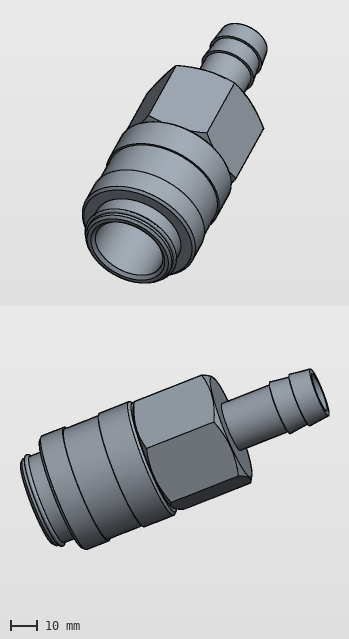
import cadquery as cq
import math


TOTAL_LENGTH = 115.0
SLEEVE_FRONT = 10.0
GRIP_FRONT = 20.0
GRIP_REAR = 34.5
SLEEVE_REAR = 47.5
HEX_REAR = 79.0
BARB_PITCH = 8.0
BARB_COUNT = 2
RING_POSITION = 3.0

NOSE_RADIUS = 35.0 / 2
SLEEVE_RADIUS = 46.0 / 2
GRIP_RADIUS = 44.6 / 2
TAIL_RADIUS = 19.0 / 2
BARB_RADIUS = 21.0 / 2
RING_RADIUS = 37.0 / 2
RING_SECTION_RADIUS = 0.85

HEX_ACROSS_FLATS = 41.0
HEX_CORNER_RADIUS = HEX_ACROSS_FLATS / 2 / math.cos(math.radians(30))
HEX_FACE_RADIUS = 40.4 / 2
HEX_CHAMFER_ANGLE = 30.0

CHAMFER = 1.0

SOCKET_RADIUS = 27.4 / 2
SOCKET_DEPTH = GRIP_REAR
MOUTH_RADIUS = 30.0 / 2
BORE_RADIUS = 15.0 / 2


def revolve_profile(points):
    """Revolve a closed (radius, axial position) outline about the Y axis."""
    outline = cq.Workplane("XY").polyline(points).close()
    return outline.revolve(360, (0, 0, 0), (0, 1, 0))


def cylinder(radius, start, end):
    return revolve_profile([(0, start), (radius, start), (radius, end), (0, end)])


def make_nose():
    """Front spigot with a chamfered lip."""
    return revolve_profile([
        (0, 0),
        (NOSE_RADIUS - CHAMFER, 0),
        (NOSE_RADIUS, CHAMFER),
        (NOSE_RADIUS, SLEEVE_FRONT),
        (0, SLEEVE_FRONT),
    ])


def make_retaining_ring():
    """Ring of round wire, partly sunk into the spigot."""
    wire_center_radius = RING_RADIUS - RING_SECTION_RADIUS
    section = cq.Workplane("XY").center(wire_center_radius, RING_POSITION).circle(RING_SECTION_RADIUS)
    return section.revolve(360, (-wire_center_radius, 0, 0), (-wire_center_radius, 1, 0))


def make_sleeve():
    """Release sleeve with chamfered ends and a shallow grip recess."""
    return revolve_profile([
        (0, SLEEVE_FRONT),
        (SLEEVE_RADIUS - CHAMFER, SLEEVE_FRONT),
        (SLEEVE_RADIUS, SLEEVE_FRONT + CHAMFER),
        (SLEEVE_RADIUS, GRIP_FRONT),
        (GRIP_RADIUS, GRIP_FRONT),
        (GRIP_RADIUS, GRIP_REAR),
        (SLEEVE_RADIUS, GRIP_REAR),
        (SLEEVE_RADIUS, SLEEVE_REAR - CHAMFER),
        (SLEEVE_RADIUS - CHAMFER, SLEEVE_REAR),
        (0, SLEEVE_REAR),
    ])


def make_hexagon():
    """Wrench hexagon with corners on the X axis, cone-chamfered at both ends."""
    prism = (
        cq.Workplane("XZ", origin=(0, SLEEVE_REAR, 0))
        .polygon(6, 2 * HEX_CORNER_RADIUS)
        .extrude(SLEEVE_REAR - HEX_REAR)
    )
    envelope_radius = HEX_CORNER_RADIUS + CHAMFER
    slope = math.tan(math.radians(HEX_CHAMFER_ANGLE))
    cone_length = (envelope_radius - HEX_FACE_RADIUS) * slope
    envelope = revolve_profile([
        (0, SLEEVE_REAR),
        (HEX_FACE_RADIUS, SLEEVE_REAR),
        (envelope_radius, SLEEVE_REAR + cone_length),
        (envelope_radius, HEX_REAR - cone_length),
        (HEX_FACE_RADIUS, HEX_REAR),
        (0, HEX_REAR),
    ])
    return prism.intersect(envelope)


def make_hose_tail():
    """Plain tail with conical barbs tapering towards the free end."""
    barbs_start = TOTAL_LENGTH - BARB_COUNT * BARB_PITCH
    tail = cylinder(TAIL_RADIUS, HEX_REAR, barbs_start)
    for index in range(BARB_COUNT):
        start = barbs_start + index * BARB_PITCH
        end = start + BARB_PITCH
        barb = revolve_profile([(0, start), (BARB_RADIUS, start), (TAIL_RADIUS, end), (0, end)])
        tail = tail.union(barb)
    return tail


def make_bores():
    """Socket with a countersunk mouth, followed by the through bore."""
    mouth_depth = MOUTH_RADIUS - SOCKET_RADIUS
    return revolve_profile([
        (0, 0),
        (MOUTH_RADIUS, 0),
        (SOCKET_RADIUS, mouth_depth),
        (SOCKET_RADIUS, SOCKET_DEPTH),
        (BORE_RADIUS, SOCKET_DEPTH),
        (BORE_RADIUS, TOTAL_LENGTH),
        (0, TOTAL_LENGTH),
    ])


body = make_nose().union(make_retaining_ring())
body = body.union(make_sleeve())
body = body.union(make_hexagon())
body = body.union(make_hose_tail())
result = body.cut(make_bores())